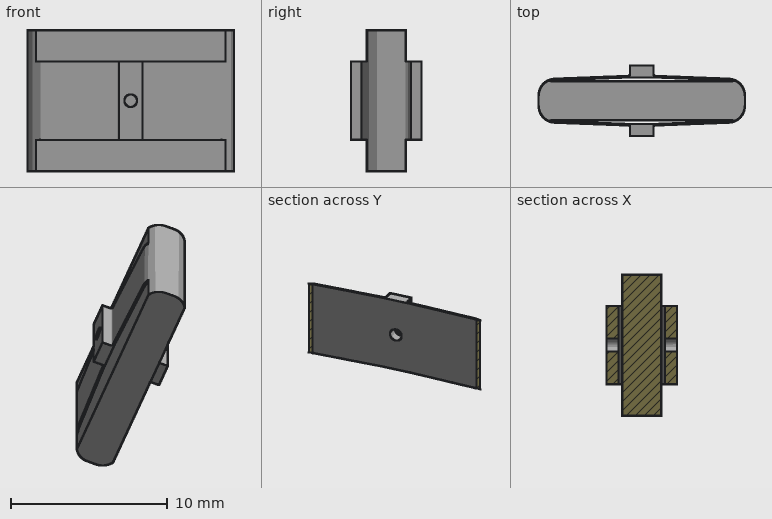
import cadquery as cq
import math

length = 13.16
body_height = 9.0
body_thickness = 2.5
end_flat_width = 0.6
end_radius = 1.1

spring_height = 5.0
spring_thickness = 0.1
spring_crest = 1.58
crest_half_length = 0.99
block_width = 1.5
block_fillet = 0.1
overall_thickness = 4.5
hole_diameter = 0.8

half_length = length / 2
half_body = body_thickness / 2
half_end_flat = end_flat_width / 2
half_block = block_width / 2
block_face = overall_thickness / 2
arc_center = (half_length - end_radius, half_end_flat)


def arc_point(radius, angle):
    """Point on a circle around the end-arc centre; the angle starts at +X."""
    return (arc_center[0] + radius * math.cos(angle), arc_center[1] + radius * math.sin(angle))


def angle_at_body_face(radius):
    """Angle where an end arc meets the broad face of the body."""
    return math.asin((half_body - half_end_flat) / radius)


def tangent_angle(point, radius):
    """Angle where a line from the crest touches an end arc on its outer side."""
    dx = point[0] - arc_center[0]
    dy = point[1] - arc_center[1]
    return math.atan2(dy, dx) - math.acos(radius / math.hypot(dx, dy))


def mirrored(point):
    return (-point[0], point[1])


def bow(radius, crest):
    """Closed area between the body face and a bowed line with tangent end arcs."""
    crest_end = (crest_half_length, crest)
    foot_angle = angle_at_body_face(radius)
    top_angle = tangent_angle(crest_end, radius)
    foot = arc_point(radius, foot_angle)
    middle = arc_point(radius, (foot_angle + top_angle) / 2)
    top = arc_point(radius, top_angle)
    return (
        cq.Workplane("XY")
        .moveTo(*foot)
        .threePointArc(middle, top)
        .lineTo(*crest_end)
        .lineTo(*mirrored(crest_end))
        .lineTo(*mirrored(top))
        .threePointArc(mirrored(middle), mirrored(foot))
        .close()
        .extrude(spring_height / 2, both=True)
    )


def make_body():
    face_angle = angle_at_body_face(end_radius)
    edge = arc_point(end_radius, face_angle)
    middle = arc_point(end_radius, face_angle / 2)
    half = (
        cq.Workplane("XY")
        .moveTo(-half_length, 0)
        .lineTo(half_length, 0)
        .lineTo(half_length, half_end_flat)
        .threePointArc(middle, edge)
        .lineTo(*mirrored(edge))
        .threePointArc(mirrored(middle), (-half_length, half_end_flat))
        .close()
        .extrude(body_height / 2, both=True)
    )
    return half.union(half.mirror("XZ"))


def make_block():
    """Contact block standing on the crest, with a concave fillet at each foot."""
    inner_face = spring_crest - spring_thickness
    foot_x = half_block + block_fillet
    fillet_top = spring_crest + block_fillet
    sag = block_fillet * (1 - math.sqrt(0.5))
    fillet_middle = (half_block + sag, spring_crest + sag)
    return (
        cq.Workplane("XY")
        .moveTo(-foot_x, inner_face)
        .lineTo(foot_x, inner_face)
        .lineTo(foot_x, spring_crest)
        .threePointArc(fillet_middle, (half_block, fillet_top))
        .lineTo(half_block, block_face)
        .lineTo(-half_block, block_face)
        .lineTo(-half_block, fillet_top)
        .threePointArc(mirrored(fillet_middle), (-foot_x, spring_crest))
        .close()
        .extrude(spring_height / 2, both=True)
    )


def make_spring():
    gap = bow(end_radius - spring_thickness, spring_crest - spring_thickness)
    spring = bow(end_radius, spring_crest).cut(gap).union(make_block())
    hole = (
        cq.Workplane("XZ", origin=(0, half_body, 0))
        .circle(hole_diameter / 2)
        .extrude(-(block_face - half_body))
    )
    return spring.cut(hole)


spring = make_spring()
result = make_body().union(spring).union(spring.mirror("XZ"))